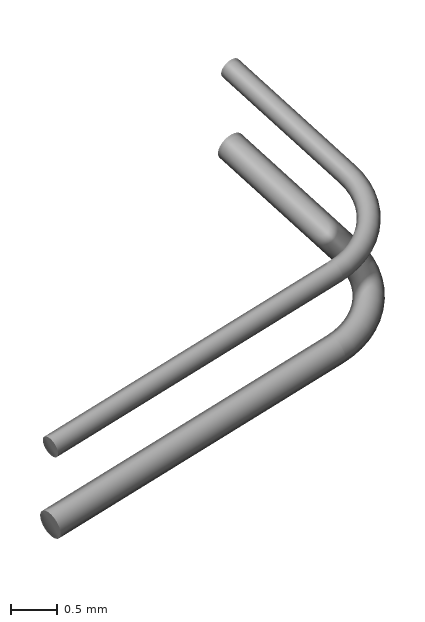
import cadquery as cq
import math

thick_wire_diameter = 0.35
thin_wire_diameter = 0.26
wire_pitch = 1.27
short_leg_length = 2.0
long_leg_length = 4.0
bend_radius = 1.0


def bent_wire(diameter, height):
    """Round wire running along +X, bending a quarter turn, then running along -Y."""
    long_leg_x = short_leg_length + bend_radius
    bend_middle = (
        short_leg_length + bend_radius * math.sin(math.pi / 4),
        -bend_radius * (1 - math.cos(math.pi / 4)),
    )
    centreline = (
        cq.Workplane("XY", origin=(0, 0, height))
        .lineTo(short_leg_length, 0)
        .threePointArc(bend_middle, (long_leg_x, -bend_radius))
        .lineTo(long_leg_x, -bend_radius - long_leg_length)
    )
    section = cq.Workplane("YZ", origin=(0, 0, height)).circle(diameter / 2)
    return section.sweep(centreline)


thick_wire = bent_wire(thick_wire_diameter, 0)
thin_wire = bent_wire(thin_wire_diameter, wire_pitch)

result = cq.Compound.makeCompound([thick_wire.val(), thin_wire.val()])